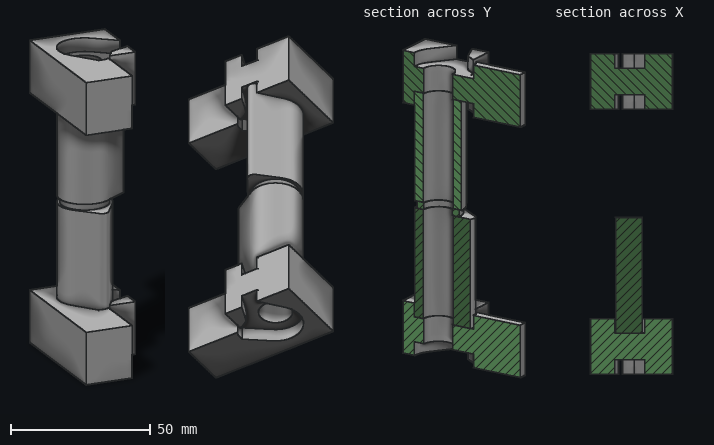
import cadquery as cq
import math

BLOCK_LENGTH = 50.0
BLOCK_DEPTH = 29.5
BLOCK_HEIGHT = 20.0
STEP_X = 27.0
ARM_DEPTH = 18.0
BLOCK_BORE = 12.2
ASSEMBLY_HEIGHT = 115.0

BARREL_RADIUS = 10.0
LOBE_REACH = 14.5
LOBE_TIP_RADIUS = 2.5
LOBE_ANGLE = 6.7
PIN_BORE = 12.5

AXIS_X = AXIS_Y = 1.5 * BARREL_RADIUS

WASHER_DIAMETER = 18.0
WASHER_THICKNESS = 2.5
WASHER_BORE = 12.0

POCKET_DEPTH = 5.2
SEAT_CLEARANCE = 0.06
POCKET_RADIUS = BARREL_RADIUS + SEAT_CLEARANCE
POCKET_REACH = 15.0
POCKET_CORNER_RADIUS = 2.8
CLOSED_FLANKS = (-52.3, 58.2)
OPEN_FLANKS = (22.0, 142.3)

PIN_LENGTH = (ASSEMBLY_HEIGHT - WASHER_THICKNESS) / 2 - BLOCK_HEIGHT + POCKET_DEPTH
SEAT_Z = BLOCK_HEIGHT - POCKET_DEPTH


def polar(radius, degrees, origin=(0.0, 0.0)):
    """Point at a distance and direction from the origin point."""
    angle = math.radians(degrees)
    return (origin[0] + radius * math.cos(angle), origin[1] + radius * math.sin(angle))


def cam_prism(height):
    """Barrel with its lobe, standing on Z = 0 about the Z axis."""
    tip_distance = LOBE_REACH - LOBE_TIP_RADIUS
    tip_center = polar(tip_distance, LOBE_ANGLE)
    half_spread = math.degrees(math.acos((BARREL_RADIUS - LOBE_TIP_RADIUS) / tip_distance))
    first_flank = LOBE_ANGLE - half_spread
    last_flank = LOBE_ANGLE + half_spread
    return (
        cq.Workplane("XY")
        .moveTo(*polar(BARREL_RADIUS, first_flank))
        .lineTo(*polar(LOBE_TIP_RADIUS, first_flank, tip_center))
        .threePointArc(polar(LOBE_REACH, LOBE_ANGLE), polar(LOBE_TIP_RADIUS, last_flank, tip_center))
        .lineTo(*polar(BARREL_RADIUS, last_flank))
        .threePointArc(polar(BARREL_RADIUS, LOBE_ANGLE + 180), polar(BARREL_RADIUS, first_flank))
        .close()
        .extrude(height)
    )


def pocket_wedge(flanks):
    """Prism between the pocket axis and two flanks that run tangent from the round seat to a common apex."""
    first, last = flanks
    apex_distance = POCKET_RADIUS / math.cos(math.radians((last - first) / 2))
    corners = [
        (0, 0),
        polar(POCKET_RADIUS, first),
        polar(apex_distance, (first + last) / 2),
        polar(POCKET_RADIUS, last),
    ]
    return cq.Workplane("XY").polyline(corners).close().extrude(POCKET_DEPTH)


def make_pocket():
    """Round seat with a closed lobe towards X and a wedge that runs out through the back face."""
    seat = cq.Workplane("XY").circle(POCKET_RADIUS).extrude(POCKET_DEPTH)

    reach_limit = cq.Workplane("XY").circle(POCKET_REACH).extrude(POCKET_DEPTH)
    closed_lobe = pocket_wedge(CLOSED_FLANKS).intersect(reach_limit)
    corner_angle = CLOSED_FLANKS[1] - math.degrees(math.acos(POCKET_RADIUS / POCKET_REACH))
    corner = (*polar(POCKET_REACH, corner_angle), POCKET_DEPTH / 2)
    closed_lobe = closed_lobe.edges(cq.NearestToPointSelector(corner)).fillet(POCKET_CORNER_RADIUS)

    pocket = seat.union(closed_lobe).union(pocket_wedge(OPEN_FLANKS))
    return pocket.translate((AXIS_X, AXIS_Y, 0))


def make_block(base_z):
    """Stepped block with a through bore and the same pocket in its lower and upper faces."""
    outline = [
        (0, 0),
        (BLOCK_LENGTH, 0),
        (BLOCK_LENGTH, ARM_DEPTH),
        (STEP_X, ARM_DEPTH),
        (STEP_X, BLOCK_DEPTH),
        (0, BLOCK_DEPTH),
    ]
    block = cq.Workplane("XY").polyline(outline).close().extrude(BLOCK_HEIGHT)
    bore = cq.Workplane("XY").center(AXIS_X, AXIS_Y).circle(BLOCK_BORE / 2).extrude(BLOCK_HEIGHT)
    block = block.cut(bore)
    pocket = make_pocket()
    for pocket_z in (0, SEAT_Z):
        block = block.cut(pocket.translate((0, 0, pocket_z)))
    return block.translate((0, 0, base_z))


def make_pin():
    """Pin standing on Z = 0 about the Z axis."""
    pin = cam_prism(PIN_LENGTH)
    bore = cq.Workplane("XY").circle(PIN_BORE / 2).extrude(PIN_LENGTH)
    return pin.cut(bore)


def make_washer():
    washer = cq.Workplane("XY").circle(WASHER_DIAMETER / 2).circle(WASHER_BORE / 2).extrude(WASHER_THICKNESS)
    return washer.translate((AXIS_X, AXIS_Y, (ASSEMBLY_HEIGHT - WASHER_THICKNESS) / 2))


blocks = [make_block(z) for z in (0, ASSEMBLY_HEIGHT - BLOCK_HEIGHT)]

lower_pin = make_pin().translate((AXIS_X, AXIS_Y, SEAT_Z))
upper_pin = make_pin().rotate((0, 0, 0), (1, 1, 0), 180)
upper_pin = upper_pin.translate((AXIS_X, AXIS_Y, ASSEMBLY_HEIGHT - SEAT_Z))

washer = make_washer()

result = cq.Compound.makeCompound(
    [block.val() for block in blocks] + [lower_pin.val(), upper_pin.val(), washer.val()]
)